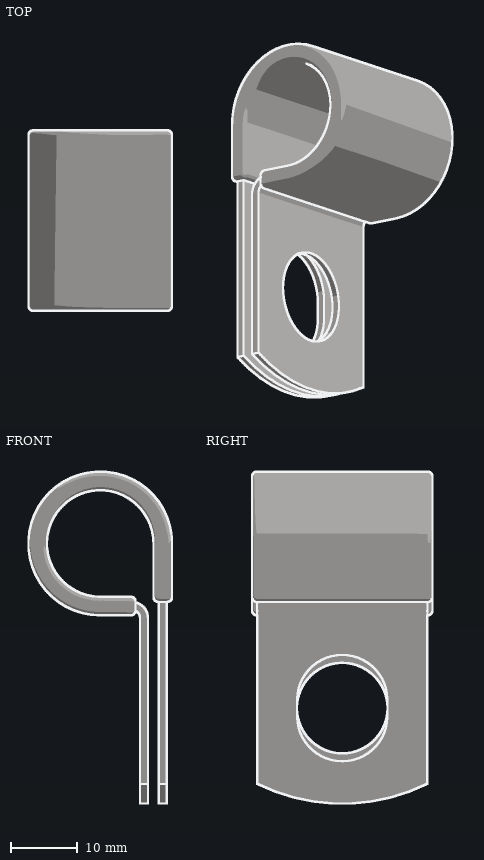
import cadquery as cq
import math


tube_diameter = 15.875
strap_thickness = 1.22
strap_width = 25.4
cushion_wall = 0.79375
leg_gap = 1.5875
bend_inner_radius = 1.19
cushion_drop = 8.75
cushion_reach = 5.3
cushion_fillet = 0.762
leg_end_drop = 38.865
tip_radius = 28.575
hole_diameter = 13.49375
hole_to_tip = 14.2875
slot_length = 15.875

cushion_inner_radius = tube_diameter / 2
strap_inner_radius = cushion_inner_radius + cushion_wall
strap_outer_radius = strap_inner_radius + strap_thickness
cushion_outer_radius = strap_outer_radius + cushion_wall
cushion_width = strap_width + 2 * cushion_wall
short_leg_outer_x = strap_inner_radius - leg_gap
short_leg_inner_x = short_leg_outer_x - strap_thickness
bend_outer_radius = bend_inner_radius + strap_thickness
bend_center_x = short_leg_outer_x - bend_outer_radius
bend_center_z = -strap_inner_radius - bend_outer_radius
hole_center_z = -leg_end_drop + hole_to_tip

diagonal = math.sqrt(0.5)


def loop_arc_midpoint(radius):
    """Middle of the three-quarter arc from +X over the top to -Z."""
    return (-radius * diagonal, radius * diagonal)


def make_cushion():
    """Rounded J-shaped rubber cushion, all of its corners rounded."""
    inner = cushion_inner_radius
    outer = cushion_outer_radius
    body = (
        cq.Workplane("XZ")
        .moveTo(outer, -cushion_drop)
        .lineTo(outer, 0)
        .threePointArc(loop_arc_midpoint(outer), (0, -outer))
        .lineTo(cushion_reach, -outer)
        .lineTo(cushion_reach, -inner)
        .lineTo(0, -inner)
        .threePointArc(loop_arc_midpoint(inner), (inner, 0))
        .lineTo(inner, -cushion_drop)
        .close()
        .extrude(cushion_width / 2, both=True)
    )
    return body.edges().fillet(cushion_fillet)


def bend_arc_midpoint(radius):
    """Middle of the quarter bend from the loop into the short leg."""
    return (bend_center_x + radius * diagonal, bend_center_z + radius * diagonal)


def make_strap():
    """Constant-thickness strap: long leg, loop, bend and short leg."""
    inner = strap_inner_radius
    outer = strap_outer_radius
    return (
        cq.Workplane("XZ")
        .moveTo(outer, -leg_end_drop)
        .lineTo(outer, 0)
        .threePointArc(loop_arc_midpoint(outer), (0, -outer))
        .lineTo(bend_center_x, -outer)
        .threePointArc(bend_arc_midpoint(bend_inner_radius), (short_leg_inner_x, bend_center_z))
        .lineTo(short_leg_inner_x, -leg_end_drop)
        .lineTo(short_leg_outer_x, -leg_end_drop)
        .lineTo(short_leg_outer_x, bend_center_z)
        .threePointArc(bend_arc_midpoint(bend_outer_radius), (bend_center_x, -inner))
        .lineTo(0, -inner)
        .threePointArc(loop_arc_midpoint(inner), (inner, 0))
        .lineTo(inner, -leg_end_drop)
        .close()
        .extrude(strap_width / 2, both=True)
    )


def make_strap_envelope():
    """Side outline of the strap: straight edges, arched leg tip."""
    half_width = strap_width / 2
    tip_rise = tip_radius - math.sqrt(tip_radius**2 - half_width**2)
    corner_z = -leg_end_drop + tip_rise
    return (
        cq.Workplane("YZ")
        .moveTo(-half_width, cushion_outer_radius)
        .lineTo(-half_width, corner_z)
        .threePointArc((0, -leg_end_drop), (half_width, corner_z))
        .lineTo(half_width, cushion_outer_radius)
        .close()
        .extrude(cushion_outer_radius, both=True)
    )


def make_bolt_hole():
    """Round bolt hole through the short leg, ending in the gap between the legs."""
    return (
        cq.Workplane("YZ", origin=(0, 0, hole_center_z))
        .circle(hole_diameter / 2)
        .extrude(strap_inner_radius)
    )


def make_adjustment_slot():
    """Upright slot through the long leg, as wide as the bolt hole."""
    return (
        cq.Workplane("YZ", origin=(strap_inner_radius, 0, hole_center_z))
        .slot2D(slot_length, hole_diameter, angle=90)
        .extrude(strap_thickness)
    )


strap = make_strap().intersect(make_strap_envelope())
strap = strap.cut(make_bolt_hole()).cut(make_adjustment_slot())
result = make_cushion().union(strap)